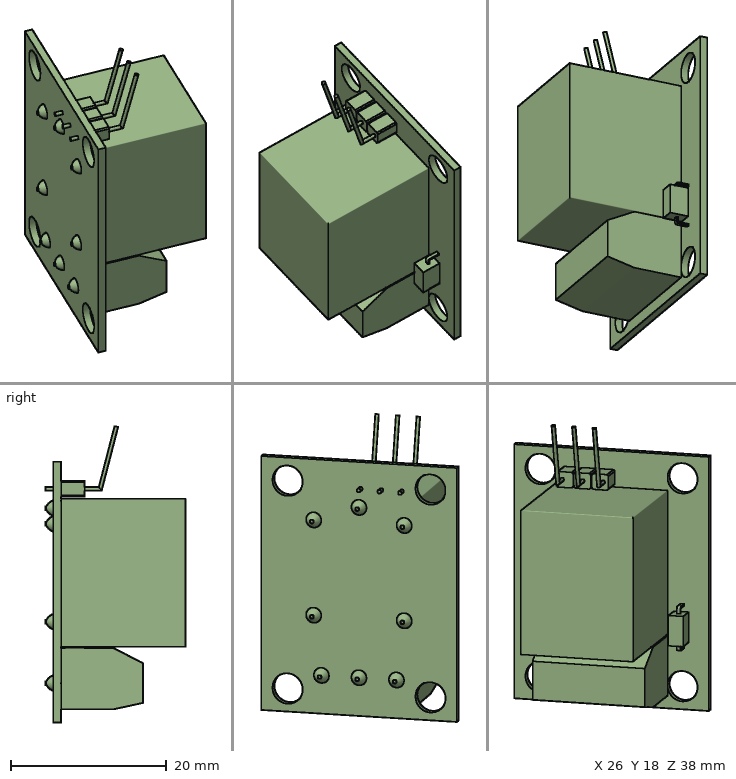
import cadquery as cq
import math


board_width = 26.0
board_height = 33.5
board_thickness = 1.03
mount_hole_diameter = 4.0
mount_hole_edge_x = 3.5
mount_hole_edge_z = 3.05

solder_diameter = 2.0
solder_dome_height = 0.88
solder_bulge_radius = 0.72
solder_bulge_height = 0.5
solder_tip_diameter = 0.5
solder_total_height = 1.0

relay_width = 15.0
relay_depth = 16.0
relay_height = 19.03
relay_bottom = 9.7
relay_edge_radius = 0.1

relay_joint_spread = 6.0
relay_joint_low = 12.95
relay_joint_high = 25.5
relay_joint_top = 27.5

terminal_width = 15.0
terminal_depth = 10.55
terminal_straight_depth = 6.7
terminal_bottom = 1.67
terminal_top = 9.6
terminal_face_bottom = 2.5
terminal_face_top = 7.6
terminal_joint_pitch = 5.0
terminal_joint_height = 5.05

chip_x = -9.48
chip_z = 11.0
chip_width = 1.95
chip_length = 4.0
chip_standoff = 0.45
chip_thickness = 2.6
lead_width = 0.5
lead_thickness = 0.23
lead_bend_radius = 0.3
lead_span = 5.82
lead_height = 1.75

header_x = 3.0
header_z = 30.0
header_cell_width = 2.25
header_cell_pitch = 2.35
header_cell_height = 2.05
header_cell_chamfer = 0.2
header_length = 3.0
pin_diameter = 0.5
pin_middle_x = 2.95
pin_pitch = 2.75
pin_tail = 1.0
pin_bend_height = 5.02
pin_lean_angle = 14.5
pin_top = 38.05
cell_count = 3

front_face = board_thickness


def block(width, depth, height, x, y, z):
    """Box centred on x, starting at y and centred on z."""
    return cq.Workplane("XY").box(width, depth, height, centered=(True, False, True)).translate((x, y, z))


def rod(diameter, x, z, y_start, y_end):
    """Round rod along +Y."""
    return cq.Workplane("XZ", origin=(x, y_start, z)).circle(diameter / 2).extrude(y_start - y_end)


def in_row(middle, pitch, index):
    """X position of one member of the row of header cells or of pins."""
    return middle + (index - (cell_count - 1) / 2) * pitch


def pin_x(index):
    return in_row(pin_middle_x, pin_pitch, index)


def make_solder_joint(x, z):
    """Rounded dome on the back face, with the cut end of a contact at its tip."""
    base_radius = solder_diameter / 2
    tip_radius = solder_tip_diameter / 2
    profile = (
        cq.Workplane("XY")
        .moveTo(0, 0)
        .lineTo(base_radius, 0)
        .threePointArc((solder_bulge_radius, -solder_bulge_height), (tip_radius, -solder_dome_height))
        .lineTo(tip_radius, -solder_total_height)
        .lineTo(0, -solder_total_height)
        .close()
    )
    return profile.revolve(360, (0, 0, 0), (0, 1, 0)).translate((x, 0, z))


def make_board():
    """Board with four mounting holes, its solder joints and the clearance holes of the header pins."""
    board = block(board_width, board_thickness, board_height, 0, 0, board_height / 2)
    hole_x = board_width / 2 - mount_hole_edge_x
    for x in (-hole_x, hole_x):
        for z in (mount_hole_edge_z, board_height - mount_hole_edge_z):
            board = board.cut(rod(mount_hole_diameter, x, z, 0, board_thickness))
    joints = [(0, relay_joint_top)]
    for x in (-relay_joint_spread, relay_joint_spread):
        for z in (relay_joint_low, relay_joint_high):
            joints.append((x, z))
    for x in (-terminal_joint_pitch, 0, terminal_joint_pitch):
        joints.append((x, terminal_joint_height))
    for x, z in joints:
        board = board.union(make_solder_joint(x, z))
    for index in range(cell_count):
        board = board.cut(rod(pin_diameter, pin_x(index), header_z, 0, board_thickness))
    return board


def make_relay():
    """Relay case with its outer edges slightly rounded."""
    relay = block(relay_width, relay_depth, relay_height, 0, front_face, relay_bottom + relay_height / 2)
    return relay.edges("|Y or (>Y and |X)").fillet(relay_edge_radius)


def make_terminal():
    """Terminal block whose upper and lower faces slope in towards the front."""
    shoulder = front_face + terminal_straight_depth
    face = front_face + terminal_depth
    outline = [
        (front_face, terminal_bottom),
        (shoulder, terminal_bottom),
        (face, terminal_face_bottom),
        (face, terminal_face_top),
        (shoulder, terminal_top),
        (front_face, terminal_top),
    ]
    return cq.Workplane("YZ").polyline(outline).close().extrude(terminal_width / 2, both=True)


def make_chip():
    """Component body raised off the board on a bent lead at each end."""
    body = block(chip_width, chip_thickness, chip_length, chip_x, front_face + chip_standoff, chip_z)
    frame = block(lead_width, lead_height, lead_span, chip_x, front_face, chip_z)
    frame = frame.edges("|X and >Y").fillet(lead_bend_radius)
    inside_height = lead_height - lead_thickness
    inside_span = lead_span - 2 * lead_thickness
    inside = block(lead_width, inside_height, inside_span, chip_x, front_face, chip_z)
    inside = inside.edges("|X and >Y").fillet(lead_bend_radius - lead_thickness)
    return body.union(frame.cut(inside))


def make_header_cell(index):
    """Chamfered header cell with its bent pin, which runs through the board."""
    cell_x = in_row(header_x, header_cell_pitch, index)
    cell = block(header_cell_width, header_length, header_cell_height, cell_x, front_face, header_z)
    cell = cell.edges("|Y").chamfer(header_cell_chamfer)

    radius = pin_diameter / 2
    lean = math.radians(pin_lean_angle)
    bend_y = front_face + pin_bend_height
    rise = pin_top - radius * math.sin(lean) - header_z
    pin_path = (
        cq.Workplane("YZ", origin=(pin_x(index), 0, 0))
        .moveTo(-pin_tail, header_z)
        .lineTo(bend_y, header_z)
        .lineTo(bend_y + rise * math.tan(lean), header_z + rise)
    )
    pin = (
        cq.Workplane("XZ", origin=(pin_x(index), -pin_tail, header_z))
        .circle(radius)
        .sweep(pin_path, transition="right")
    )
    return cell.union(pin)


board = make_board()
relay = make_relay()
terminal = make_terminal()
chip = make_chip()
header_cells = [make_header_cell(index).val() for index in range(cell_count)]

result = cq.Compound.makeCompound([board.val(), relay.val(), terminal.val(), chip.val(), *header_cells])